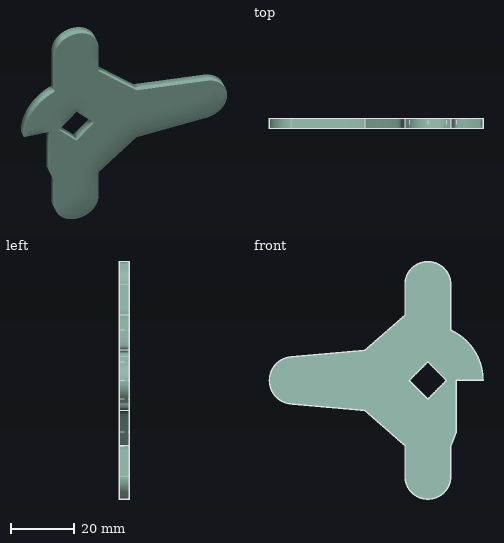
import cadquery as cq
import math

thickness = 3.2
total_height = 75.0
arm_radius = 7.3
handle_radius = 7.5
handle_reach = 50.0
sector_radius = 17.5
square_side = 8.25
knee_x = -19.9
knee_z = 9.5
shoulder_z = 20.55
flat_x = 9.0
flat_bottom_z = -16.3
flat_blend_z = -20.8

arm_tip_z = total_height / 2
arm_center_z = arm_tip_z - arm_radius
handle_center_x = handle_radius - handle_reach

lobe_start_z = math.sqrt(sector_radius**2 - arm_radius**2)
lobe_start_angle = math.atan2(lobe_start_z, arm_radius)
lobe_middle = (
    sector_radius * math.cos(lobe_start_angle / 2),
    sector_radius * math.sin(lobe_start_angle / 2),
)

knee_distance = math.hypot(knee_x - handle_center_x, knee_z)
knee_angle = math.atan2(knee_z, knee_x - handle_center_x)
tangent_angle = knee_angle + math.acos(handle_radius / knee_distance)
tangent_x = handle_center_x + handle_radius * math.cos(tangent_angle)
tangent_z = handle_radius * math.sin(tangent_angle)

plate = (
    cq.Workplane("XZ")
    .moveTo(tangent_x, -tangent_z)
    .threePointArc((-handle_reach, 0), (tangent_x, tangent_z))
    .lineTo(knee_x, knee_z)
    .lineTo(-arm_radius, shoulder_z)
    .lineTo(-arm_radius, arm_center_z)
    .threePointArc((0, arm_tip_z), (arm_radius, arm_center_z))
    .lineTo(arm_radius, lobe_start_z)
    .threePointArc(lobe_middle, (sector_radius, 0))
    .lineTo(flat_x, 0)
    .lineTo(flat_x, flat_bottom_z)
    .lineTo(arm_radius, flat_blend_z)
    .lineTo(arm_radius, -arm_center_z)
    .threePointArc((0, -arm_tip_z), (-arm_radius, -arm_center_z))
    .lineTo(-arm_radius, -shoulder_z)
    .lineTo(knee_x, -knee_z)
    .close()
    .extrude(thickness / 2, both=True)
)

square_hole = (
    cq.Workplane("XZ")
    .rect(square_side, square_side)
    .extrude(thickness, both=True)
    .rotate((0, 0, 0), (0, 1, 0), 45)
)

result = plate.cut(square_hole)